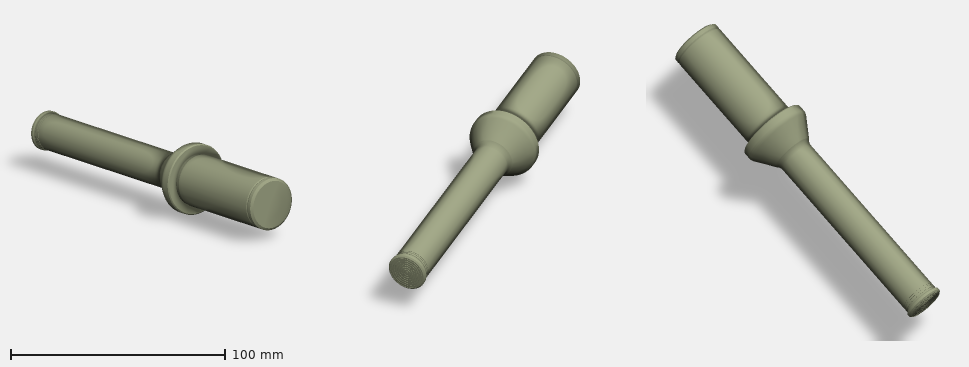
import cadquery as cq

LENGTH = 168.0
X_LEFT = -LENGTH / 2
X_RIGHT = LENGTH / 2
ROD_RADIUS = 17.5 / 2

TIP_RADIUS = 9.4
TIP_NECK_RADIUS = ROD_RADIUS
TIP_LENGTH = 5.9
COLLAR_LENGTH = 2.4
COLLAR_FRONT_CHAMFER = 0.7
COLLAR_BACK_CHAMFER = 0.5
GROOVE_WIDTH = 0.5
GROOVE_DEPTH = 0.2
NECK_GROOVE_OFFSETS = (2.9, 4.0, 5.0)
FACE_GROOVE_COUNT = 7
FACE_GROOVE_PITCH = 1.2
FACE_GROOVE_FIRST_RADIUS = 0.8

ROD_END_X = 9.7
ROD_BLEND_MID_X = 11.3
ROD_BLEND_MID_RADIUS = 9.0
CONE_START_X = 12.6
CONE_START_RADIUS = 10.0
CONE_END_X = 22.2
CONE_END_RADIUS = 16.3

FLANGE_RADIUS = 34.0 / 2
FLANGE_BLEND_MID_X = 23.2
FLANGE_BLEND_MID_RADIUS = 16.8
FLANGE_START_X = 24.2
FLANGE_BACK_X = 27.9
FLANGE_CHAMFER = 0.5

SHANK_RADIUS = 25.0 / 2
RELIEF_RADIUS = 24.5 / 2
RELIEF_END_X = 29.0
SHANK_START_X = 30.2
V_GROOVE_X = 80.1
V_GROOVE_WIDTH = 1.2
SHANK_CHAMFER_LENGTH = 0.8
SHANK_CHAMFER_DEPTH = 1.2


def disc(x, length, radius):
    return cq.Workplane("YZ", origin=(x, 0, 0)).circle(radius).extrude(length)


def ring(x, length, inner_radius, outer_radius):
    return disc(x, length, outer_radius).cut(disc(x, length, inner_radius))


def make_tip():
    collar = disc(X_LEFT, COLLAR_LENGTH, TIP_RADIUS)
    collar = collar.faces("<X").edges().chamfer(COLLAR_FRONT_CHAMFER)
    collar = collar.faces(">X").edges().chamfer(COLLAR_BACK_CHAMFER)
    tip = collar.union(disc(X_LEFT + COLLAR_LENGTH, TIP_LENGTH - COLLAR_LENGTH, TIP_NECK_RADIUS))

    for i in range(FACE_GROOVE_COUNT):
        inner_radius = FACE_GROOVE_FIRST_RADIUS + i * FACE_GROOVE_PITCH
        tip = tip.cut(ring(X_LEFT, GROOVE_DEPTH, inner_radius, inner_radius + GROOVE_WIDTH))

    for offset in NECK_GROOVE_OFFSETS:
        groove_bottom = TIP_NECK_RADIUS - GROOVE_DEPTH
        tip = tip.cut(ring(X_LEFT + offset, GROOVE_WIDTH, groove_bottom, TIP_RADIUS))
    return tip


def make_handle():
    rod_start_x = X_LEFT + TIP_LENGTH
    outline = (
        cq.Workplane("XY")
        .moveTo(rod_start_x, 0)
        .lineTo(rod_start_x, ROD_RADIUS)
        .lineTo(ROD_END_X, ROD_RADIUS)
        .threePointArc((ROD_BLEND_MID_X, ROD_BLEND_MID_RADIUS), (CONE_START_X, CONE_START_RADIUS))
        .lineTo(CONE_END_X, CONE_END_RADIUS)
        .threePointArc((FLANGE_BLEND_MID_X, FLANGE_BLEND_MID_RADIUS), (FLANGE_START_X, FLANGE_RADIUS))
        .lineTo(FLANGE_BACK_X - FLANGE_CHAMFER, FLANGE_RADIUS)
        .lineTo(FLANGE_BACK_X, FLANGE_RADIUS - FLANGE_CHAMFER)
        .lineTo(FLANGE_BACK_X, RELIEF_RADIUS)
        .lineTo(RELIEF_END_X, RELIEF_RADIUS)
        .lineTo(SHANK_START_X, SHANK_RADIUS)
        .lineTo(V_GROOVE_X, SHANK_RADIUS)
        .lineTo(V_GROOVE_X + V_GROOVE_WIDTH / 2, RELIEF_RADIUS)
        .lineTo(V_GROOVE_X + V_GROOVE_WIDTH, SHANK_RADIUS)
        .lineTo(X_RIGHT - SHANK_CHAMFER_LENGTH, SHANK_RADIUS)
        .lineTo(X_RIGHT, SHANK_RADIUS - SHANK_CHAMFER_DEPTH)
        .lineTo(X_RIGHT, 0)
        .close()
    )
    return outline.revolve(360, (0, 0, 0), (1, 0, 0))


tip = make_tip()
handle = make_handle()
result = cq.Compound.makeCompound([tip.solids().val(), handle.val()])